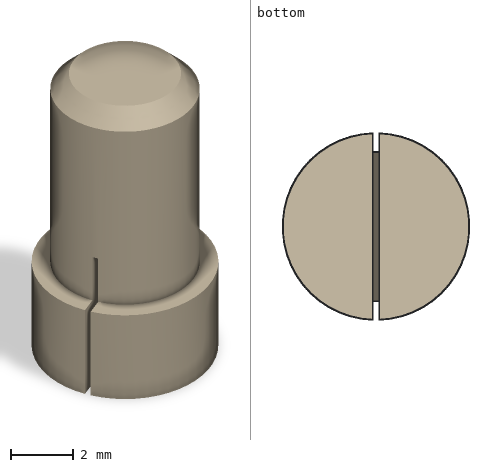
import cadquery as cq

total_height = 10.7
collar_diameter = 6.0
collar_height = 3.3
shaft_diameter = 4.8
tip_chamfer = 0.6
slot_width = 0.2
slot_height = 5.0


def make_stepped_pin():
    """Round shaft with a wide collar at its base and a chamfered tip."""
    collar = cq.Workplane("XY").circle(collar_diameter / 2).extrude(collar_height)
    shaft = cq.Workplane("XY").circle(shaft_diameter / 2).extrude(total_height)
    shaft = shaft.faces(">Z").edges().chamfer(tip_chamfer)
    return collar.union(shaft)


def make_slot():
    """Narrow slot through the full diameter along Y, open at the base."""
    return cq.Workplane("XY").box(
        slot_width, collar_diameter, slot_height, centered=(True, True, False)
    )


result = make_stepped_pin().cut(make_slot())